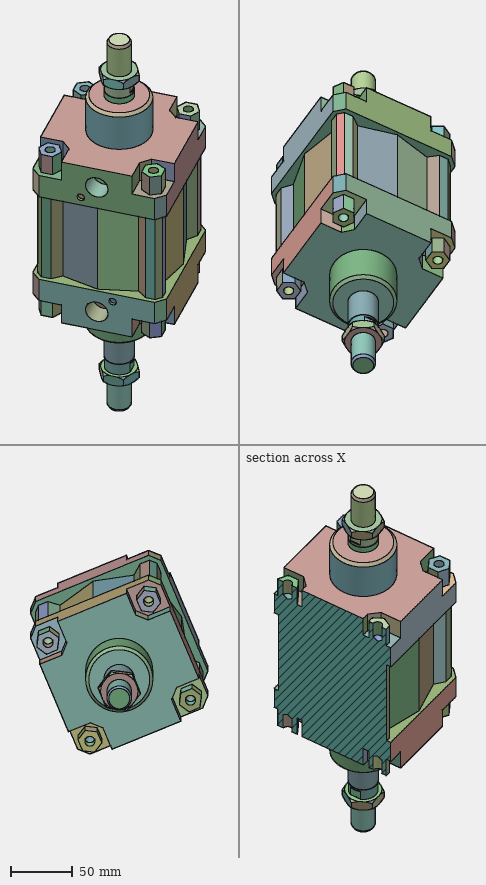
import cadquery as cq
import math


cap_width = 115.0
cap_chamfer = 7.8
cap_outer_z = 81.5
cap_inner_z = 41.8
boss_radius = 27.5
boss_end_z = 116.5
boss_chamfer = 2.5

pocket_edge = 30.5
pocket_chamfer = 7.8
pocket_depth = 18.0
head_offset = 44.5
head_across_flats = 17.0
head_hole_radius = 4.0
head_hole_depth = 14.8
drill_point_angle = 118

port_radius = 9.5
port_z = 63.0
port_depth = 18.5
cushion_radius = 3.15
cushion_x = 13.7
cushion_z = 49.5
cushion_depth = 2.5

ridge_distance = 55.0
pillar_distance = 53.5
pillar_chamfer = 4.8
pillar_edge = 40.7
valley_edge = 32.5
valley_distance = 47.0

rod_length = 370.0
rod_shift = -12.5
rod_radius = 12.5
neck_radius = 12.2
neck_start = 50.5
neck_flat_start = 48.0
neck_flat_half_width = 11.0
thread_start = 39.5
thread_radius = 10.0
thread_end_radius = 8.5
thread_chamfer_length = 2.5

nut_across_flats = 30.0
nut_face_radius = 15.0
nut_height = 9.2
nut_bevel_angle = 40

SIDES = (1, -1)
QUARTER_TURNS = (0, 90, 180, 270)
AXIS_START = (0, 0, 0)
AXIS_END = (0, 0, 1)


def hex_corner_diameter(across_flats):
    """Diameter across the corners of a regular hexagon."""
    return across_flats / math.cos(math.radians(30))


def drilled_hole(radius, depth):
    """Drill shape along -Z from the origin, ending in a drill point."""
    point_length = radius / math.tan(math.radians(drill_point_angle / 2))
    return (
        cq.Workplane("XZ")
        .polyline([(0, 0), (radius, 0), (radius, -depth), (0, -depth - point_length)])
        .close()
        .revolve()
    )


def make_tube():
    """Tube with four chamfered corner pillars and shallow ridged sides."""
    pillar_end = pillar_distance - pillar_chamfer
    side = [
        (-pillar_end, -pillar_distance),
        (-pillar_edge, -pillar_distance),
        (-valley_edge, -valley_distance),
        (0, -ridge_distance),
        (valley_edge, -valley_distance),
        (pillar_edge, -pillar_distance),
        (pillar_end, -pillar_distance),
    ]
    outline = []
    for _ in QUARTER_TURNS:
        outline += side
        side = [(-y, x) for x, y in side]
    return cq.Workplane("XY").polyline(outline).close().extrude(cap_inner_z, both=True)


def make_corner_pocket():
    """Cutter for the -X -Y corner pocket of the upper cap."""
    size = cap_width / 2 - pocket_edge
    return (
        cq.Workplane("XY")
        .workplane(offset=cap_outer_z - pocket_depth)
        .center(-pocket_edge - size / 2, -pocket_edge - size / 2)
        .rect(size, size)
        .extrude(pocket_depth)
        .edges("|Z and >X and >Y")
        .chamfer(pocket_chamfer)
    )


def make_tie_rod_head():
    """Hexagonal head in the -X -Y corner pocket, flush with the cap face."""
    head = (
        cq.Workplane("XY")
        .workplane(offset=cap_outer_z - pocket_depth)
        .center(-head_offset, -head_offset)
        .polygon(6, hex_corner_diameter(head_across_flats))
        .extrude(pocket_depth)
    )
    hole = drilled_hole(head_hole_radius, head_hole_depth)
    return head.cut(hole.translate((-head_offset, -head_offset, cap_outer_z)))


def make_upper_cap():
    """End cap with its boss, corner pockets, tie rod heads and air port."""
    cap = (
        cq.Workplane("XY")
        .workplane(offset=cap_inner_z)
        .rect(cap_width, cap_width)
        .extrude(cap_outer_z - cap_inner_z)
        .edges("|Z")
        .chamfer(cap_chamfer)
    )
    boss = (
        cq.Workplane("XY")
        .workplane(offset=cap_outer_z)
        .circle(boss_radius)
        .extrude(boss_end_z - cap_outer_z)
        .faces(">Z")
        .chamfer(boss_chamfer)
    )
    cap = cap.union(boss)

    pocket = make_corner_pocket()
    head = make_tie_rod_head()
    for turn in QUARTER_TURNS:
        cap = cap.cut(pocket.rotate(AXIS_START, AXIS_END, turn))
        cap = cap.union(head.rotate(AXIS_START, AXIS_END, turn))

    port = (
        cq.Workplane("XZ", origin=(0, -cap_width / 2, port_z))
        .circle(port_radius)
        .extrude(-port_depth)
    )
    return cap.cut(port)


def make_cushion_recess(side):
    """Cutter for a cushion screw recess; the two caps have it on opposite sides of the port."""
    return (
        cq.Workplane("XZ", origin=(-side * cushion_x, -cap_width / 2, side * cushion_z))
        .circle(cushion_radius)
        .extrude(-cushion_depth)
    )


def make_housing():
    """Tube closed by two mirrored caps, bored through for the piston rod."""
    upper_cap = make_upper_cap()
    housing = make_tube().union(upper_cap).union(upper_cap.mirror("XY"))
    for side in SIDES:
        housing = housing.cut(make_cushion_recess(side))
    bore = cq.Workplane("XY").circle(rod_radius).extrude(boss_end_z, both=True)
    return housing.cut(bore)


def make_rod():
    """Piston rod with a flatted neck and a threaded stud at each end."""
    half = rod_length / 2
    upper_half_outline = [
        (0, 0),
        (rod_radius, 0),
        (rod_radius, half - neck_start),
        (neck_radius, half - neck_start),
        (neck_radius, half - thread_start),
        (thread_radius, half - thread_start),
        (thread_radius, half - thread_chamfer_length),
        (thread_end_radius, half),
        (0, half),
    ]
    upper_half = cq.Workplane("XZ").polyline(upper_half_outline).close().revolve()

    flat_depth = neck_radius - neck_flat_half_width
    for side in SIDES:
        flat = cq.Workplane("XY").box(
            flat_depth, 2 * neck_radius, neck_flat_start - thread_start
        )
        flat_x = side * (neck_flat_half_width + flat_depth / 2)
        flat_z = half - (neck_flat_start + thread_start) / 2
        upper_half = upper_half.cut(flat.translate((flat_x, 0, flat_z)))

    rod = upper_half.union(upper_half.mirror("XY"))
    return rod.translate((0, 0, rod_shift))


def make_nut(side):
    """Hexagonal lock nut, bevelled on both faces, seated on the neck at one rod end."""
    corner_radius = hex_corner_diameter(nut_across_flats) / 2
    bevel_height = (corner_radius - nut_face_radius) * math.tan(math.radians(nut_bevel_angle))
    half = nut_height / 2
    blank = (
        cq.Workplane("XY")
        .polygon(6, 2 * corner_radius)
        .circle(thread_radius)
        .extrude(half, both=True)
    )
    bevel = (
        cq.Workplane("XZ")
        .polyline([
            (0, -half),
            (nut_face_radius, -half),
            (corner_radius, bevel_height - half),
            (corner_radius, half - bevel_height),
            (nut_face_radius, half),
            (0, half),
        ])
        .close()
        .revolve()
    )
    nut_z = rod_shift + side * (rod_length / 2 - thread_start + half)
    return blank.intersect(bevel).translate((0, 0, nut_z))


housing = make_housing()
rod = make_rod()
nuts = [make_nut(side) for side in SIDES]

result = cq.Compound.makeCompound([housing.val(), rod.val(), *[nut.val() for nut in nuts]])